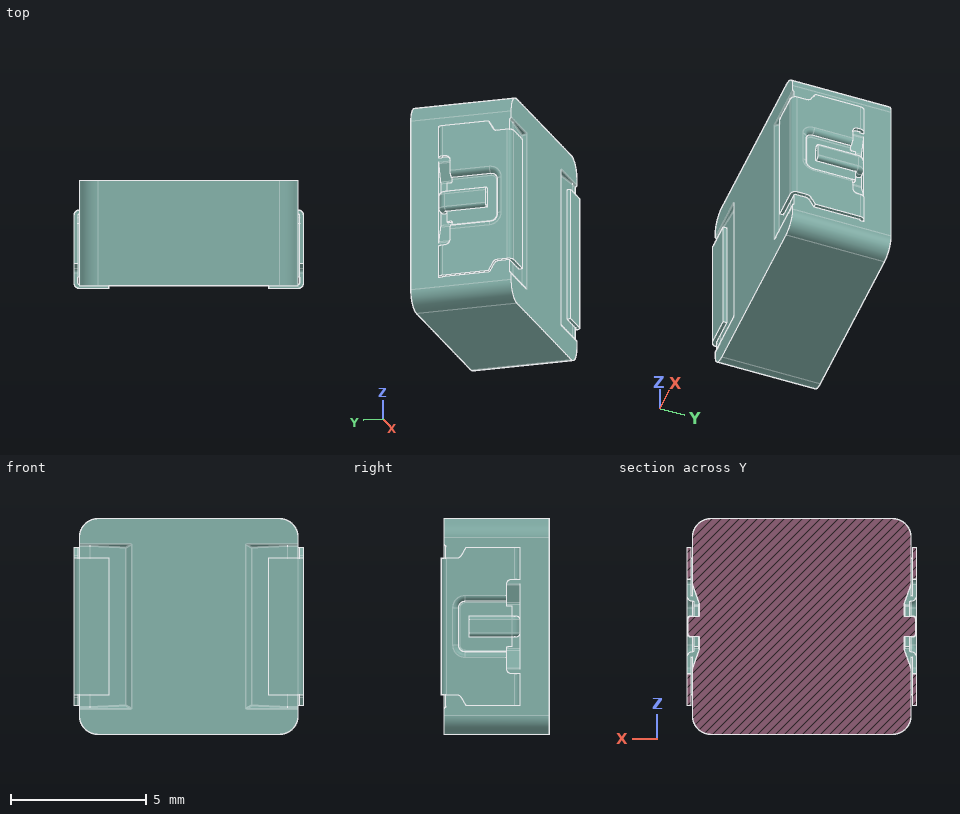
import cadquery as cq
import math

LENGTH = 8.5
DEPTH = 4.0
HEIGHT = 8.0

NEAR = 0.01

SIDE_OFFSET = 0.2
SEAT_OFFSET = 0.1
CORNER_RADIUS = 0.7
BODY_HALF_X = LENGTH / 2 - SIDE_OFFSET
BODY_SEAT_Y = SEAT_OFFSET - DEPTH / 2
BODY_BACK_Y = DEPTH / 2

POCKET_HALF_Z = 3.045
POCKET_INNER_X = 2.11
POCKET_WALL_X = 0.22
POCKET_FLAT_X = 3.66
POCKET_EDGE_DEPTH = 0.06
POCKET_INNER_DEPTH = 0.125
POCKET_SIDE_RUN = 0.12
POCKET_FILLET = 0.05

SHEET = 0.15
BEND_RADIUS = 0.2
FACE_X = LENGTH / 2
TERMINAL_TOP_Y = 0.91
TERMINAL_HALF_Z = 2.93
FOOT_HALF_Z = 2.53
FOOT_INNER_X = 2.96
SHOULDER_Y = -1.08
SHOULDER_ANGLE = 60
SHOULDER_RADIUS = 0.2
EMBED = 0.3

NOTCH_HALF_Z = 1.745
NOTCH_Y = 0.41
NOTCH_RADIUS = 0.2

PAN_DEPTH = 0.27
PAN_RIM_RADIUS = 0.21
PAN_FLOOR_RADIUS = 0.055
PAN_HALF_Z = 0.935
PAN_BOTTOM_Y = -1.365
PAN_CORNER_RADIUS = 0.25
TONGUE_HALF_Z = 0.75
TONGUE_TOP_Y = 0.62
TONGUE_ROOT_RADIUS = 0.06
PAN_FLOOR_X = FACE_X - PAN_DEPTH
PAN_UNDERSIDE_X = PAN_FLOOR_X - SHEET

WINDOW_HALF_Z = 1.555
WINDOW_FLOOR_HALF_Z = 0.85
WINDOW_DEPTH = 0.255
WINDOW_FLOOR_RADIUS = 0.2
WINDOW_RIM_RADIUS = 0.15
WINDOW_FLOOR_X = BODY_HALF_X - WINDOW_DEPTH

LEAD_HALF_Z = 0.385
LEAD_THICKNESS = PAN_DEPTH
LEAD_BEND_RADIUS = 0.29
LEAD_END_Y = -0.97


def box(x_range, y_range, z_range):
    """Box spanning the given coordinate ranges."""
    spans = (x_range, y_range, z_range)
    sizes = [high - low for low, high in spans]
    return cq.Workplane("XY").box(*sizes, centered=False).translate([low for low, high in spans])


def edges_within(x_range, y_range, z_range):
    """Selector for the edges whose centres lie inside the given coordinate ranges."""
    ranges = (x_range, y_range, z_range)
    return cq.selectors.BoxSelector(*zip(*ranges))


def on_left(shape):
    """Mirror a right-hand (+X) shape to the left."""
    return shape.mirror("YZ")


def seat_pocket():
    """Shallow seat pocket: sloped inner wall, tilted floor, level outer floor."""
    outer_x = BODY_HALF_X + SIDE_OFFSET
    floor_start_x = POCKET_INNER_X + POCKET_WALL_X
    profile = [
        (POCKET_INNER_X, BODY_SEAT_Y),
        (floor_start_x, BODY_SEAT_Y + POCKET_INNER_DEPTH),
        (POCKET_FLAT_X, BODY_SEAT_Y + POCKET_EDGE_DEPTH),
        (outer_x, BODY_SEAT_Y + POCKET_EDGE_DEPTH),
        (outer_x, BODY_SEAT_Y),
    ]
    channel = cq.Workplane("XY").polyline(profile).close().extrude(POCKET_HALF_Z, both=True)
    deep_y = BODY_SEAT_Y + POCKET_INNER_DEPTH
    deep_half_z = POCKET_HALF_Z - POCKET_SIDE_RUN
    side_walls = [
        (BODY_SEAT_Y, -POCKET_HALF_Z),
        (deep_y, -deep_half_z),
        (deep_y, deep_half_z),
        (BODY_SEAT_Y, POCKET_HALF_Z),
    ]
    drafted = cq.Workplane("YZ").polyline(side_walls).close().extrude(outer_x)
    pocket = channel.intersect(drafted)
    tall = (-DEPTH, DEPTH)
    wide = (-HEIGHT, HEIGHT)
    tilted_part = pocket.intersect(box((0, POCKET_FLAT_X), tall, wide))
    level_part = pocket.intersect(box((POCKET_FLAT_X, outer_x), tall, wide))
    below_seat = edges_within((0, POCKET_FLAT_X - NEAR), (BODY_SEAT_Y + NEAR, DEPTH), wide)
    tilted_part = tilted_part.edges(below_seat).fillet(POCKET_FILLET)
    level_part = level_part.edges("|X and >Y").fillet(POCKET_FILLET)
    return tilted_part.union(level_part)


def side_window():
    """Trapezoidal recess in the body side, sloped in Z, behind the terminal notch."""
    trapezoid = [
        (WINDOW_FLOOR_X, -WINDOW_FLOOR_HALF_Z),
        (WINDOW_FLOOR_X, WINDOW_FLOOR_HALF_Z),
        (BODY_HALF_X, WINDOW_HALF_Z),
        (BODY_HALF_X, -WINDOW_HALF_Z),
    ]
    prism = cq.Workplane("XZ").polyline(trapezoid).close().extrude(NOTCH_Y - TERMINAL_TOP_Y)
    prism = prism.translate((0, NOTCH_Y, 0))
    return prism.edges("|Y and <X").fillet(WINDOW_FLOOR_RADIUS)


def make_body():
    """Rounded block with a seat pocket, a window and room for the pan on each X side."""
    body = box((-BODY_HALF_X, BODY_HALF_X), (BODY_SEAT_Y, BODY_BACK_Y), (-HEIGHT / 2, HEIGHT / 2))
    body = body.edges("|Y").fillet(CORNER_RADIUS)
    for cutter in (seat_pocket(), side_window(), pan_hollow()):
        body = body.cut(cutter).cut(on_left(cutter))
    for side in (1, -1):
        seat_rim = edges_within(
            (side * (POCKET_INNER_X - POCKET_FILLET), side * (BODY_HALF_X - NEAR)),
            (BODY_SEAT_Y - NEAR, BODY_SEAT_Y + NEAR),
            (-POCKET_HALF_Z - NEAR, POCKET_HALF_Z + NEAR),
        )
        body = body.edges(seat_rim).fillet(POCKET_FILLET)
        window_rim = edges_within(
            (side * (BODY_HALF_X - NEAR), side * (BODY_HALF_X + NEAR)),
            (NOTCH_Y + NEAR, TERMINAL_TOP_Y - NEAR),
            (-WINDOW_HALF_Z - NEAR, WINDOW_HALF_Z + NEAR),
        )
        body = body.edges("|Y").edges(window_rim).fillet(WINDOW_RIM_RADIUS)
    return body


def bent_strip():
    """Sheet bent from the body, down the side and under the seat, full terminal width."""
    foot_y = -DEPTH / 2
    tail_x = BODY_HALF_X - EMBED
    outer = box((tail_x, FACE_X), (foot_y, TERMINAL_TOP_Y), (-TERMINAL_HALF_Z, TERMINAL_HALF_Z))
    foot = box((FOOT_INNER_X, FACE_X), (foot_y, foot_y + SHEET), (-TERMINAL_HALF_Z, TERMINAL_HALF_Z))
    outer = outer.union(foot).edges("|Z and >X").fillet(BEND_RADIUS)
    inner = box(
        (FOOT_INNER_X, FACE_X - SHEET),
        (foot_y + SHEET, TERMINAL_TOP_Y - SHEET),
        (-TERMINAL_HALF_Z, TERMINAL_HALF_Z),
    )
    return outer.cut(inner.edges("|Z and >X").fillet(BEND_RADIUS - SHEET))


def terminal_outline():
    """Side outline: wide top, sloped shoulders and a narrower foot."""
    slope = math.radians(SHOULDER_ANGLE)
    shoulder_run = (TERMINAL_HALF_Z - FOOT_HALF_Z) / math.tan(slope)
    neck_y = SHOULDER_Y - shoulder_run
    half = [
        (TERMINAL_TOP_Y, TERMINAL_HALF_Z),
        (SHOULDER_Y, TERMINAL_HALF_Z),
        (neck_y, FOOT_HALF_Z),
        (-DEPTH / 2, FOOT_HALF_Z),
    ]
    points = half + [(y, -z) for y, z in reversed(half)]
    prism = cq.Workplane("YZ").polyline(points).close().extrude(LENGTH)
    neck = edges_within((0, LENGTH), (neck_y - NEAR, neck_y + NEAR), (-HEIGHT, HEIGHT))
    return prism.edges("|X").edges(neck).fillet(SHOULDER_RADIUS)


def notch():
    """Cut in the terminal top edge with rounded lower corners."""
    cutter = box((0, LENGTH), (NOTCH_Y, DEPTH), (-NOTCH_HALF_Z, NOTCH_HALF_Z))
    return cutter.edges("|X and <Y").fillet(NOTCH_RADIUS)


def pan_hollow():
    """Hollow of the pressed pan, open at its top."""
    hollow = box((PAN_FLOOR_X, FACE_X), (PAN_BOTTOM_Y, NOTCH_Y), (-PAN_HALF_Z, PAN_HALF_Z))
    hollow = hollow.edges("|X and <Y").fillet(PAN_CORNER_RADIUS)
    return hollow.faces("<X").edges("not >Y").fillet(PAN_FLOOR_RADIUS)


def make_terminal():
    """Bent terminal with its notch, pressed pan and tongue."""
    terminal = bent_strip().intersect(terminal_outline()).cut(notch())
    rim_half_z = PAN_HALF_Z + PAN_RIM_RADIUS
    rim_bottom_y = PAN_BOTTOM_Y - PAN_RIM_RADIUS
    pan = box((PAN_UNDERSIDE_X, FACE_X), (rim_bottom_y, NOTCH_Y), (-rim_half_z, rim_half_z))
    terminal = terminal.union(pan).cut(pan_hollow())
    rim = edges_within(
        (FACE_X - NEAR, FACE_X + NEAR),
        (PAN_BOTTOM_Y - NEAR, NOTCH_Y - NEAR),
        (-PAN_HALF_Z - NEAR, PAN_HALF_Z + NEAR),
    )
    terminal = terminal.edges(rim).fillet(PAN_RIM_RADIUS)
    tongue = box((PAN_UNDERSIDE_X, PAN_FLOOR_X), (0, TONGUE_TOP_Y), (-TONGUE_HALF_Z, TONGUE_HALF_Z))
    root = edges_within(
        (0, PAN_FLOOR_X),
        (NOTCH_Y - NEAR, NOTCH_Y + NEAR),
        (-TONGUE_HALF_Z - NEAR, TONGUE_HALF_Z + NEAR),
    )
    return terminal.union(tongue).edges("|X").edges(root).fillet(TONGUE_ROOT_RADIUS)


def make_lead():
    """Coil lead with round edges: along the pan, then bent into the body at its top."""
    half_thickness = LEAD_THICKNESS / 2
    center_x = FACE_X - half_thickness
    center_top_y = TERMINAL_TOP_Y - half_thickness
    bend = LEAD_BEND_RADIUS - half_thickness
    bend_offset = bend * (1 - math.sqrt(0.5))
    path = (
        cq.Workplane("XY")
        .moveTo(center_x, LEAD_END_Y)
        .lineTo(center_x, center_top_y - bend)
        .threePointArc(
            (center_x - bend_offset, center_top_y - bend_offset),
            (center_x - bend, center_top_y),
        )
        .lineTo(BODY_HALF_X - EMBED, center_top_y)
    )
    section = cq.Workplane("XZ", origin=(center_x, LEAD_END_Y, 0)).slot2D(
        2 * LEAD_HALF_Z, LEAD_THICKNESS, angle=90
    )
    return section.sweep(path)


result = make_body()
for fitting in (make_terminal(), make_lead()):
    result = result.union(fitting).union(on_left(fitting))